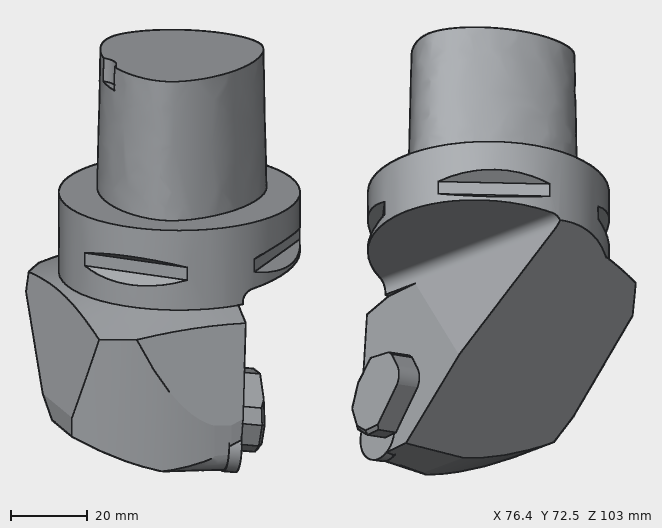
import cadquery as cq
import math


SHANK_HEIGHT = 38.0
SHANK_BASE_RADIUS = 22.1
SHANK_TOP_RADIUS = 21.3
LOBE_HEIGHT = 1.4
LOBE_COUNT = 3
OUTLINE_POINTS = 36
NOTCH_DEPTH = 6.4
NOTCH_RADIUS = 5.6
NOTCH_AXIS_Y = -23.6

FLANGE_RADIUS = 31.5
FLANGE_HEIGHT = 21.9
SLOT_COUNT = 4
SLOT_Z = -11.9
SLOT_FLOOR_WIDTH = 3.5
SLOT_MOUTH_WIDTH = 7.8
SLOT_FLOOR_DISTANCE = 27.9

WALL_Y = 5.9
UNDERSIDE_EDGE_Z = -16.2
UNDERSIDE_WALL_Z = -18.5
UNDERSIDE_FILLET = 3.1

HEAD_LEFT_CORNER_Y = -23.7
HEAD_BEVEL_END_X = -12.9
HEAD_FRONT_END_X = 28.4
SIDE_WALL_MIDDLE = (39.2, -23.3)
SIDE_WALL_END_Y = -3.0
FRONT_TOP_Y = -28.2
FRONT_LEAN_END_Z = -48.3
FRONT_BAND_END_Z = -53.5
UNDERSIDE_MIDDLE = (-30.4, -58.7)
UNDERSIDE_END = (-18.0, -62.4)
BOTTOM_EDGE_Y = 1.0
HEAD_BOTTOM_Z = -64.3
HEAD_SIDE_X = 44.0
HEAD_FRONT_Y = -41.0
SHOULDER_SLOPE = 0.25
CUT_START_Z = -19.3
CUT_END_X = 27.3
CUT_TILT = 0.01
SIDE_FACE_POINT = (39.8, 3.5, -24.0)
SIDE_FACE_NORMAL = (1, -0.074, 0.178)
SEAT_NORMAL = (0.125, 1, -0.076)
SEAT_AT_ORIGIN_Y = 10.1

INSERT_RADIUS = 6.8
INSERT_BACK_RADIUS = 6.5
INSERT_THICKNESS = 3.3
INSERT_X = 38.2
INSERT_Z = -58.2
NOSE_RADIUS = 6.5
NOSE_DRAFT = 5.0

CLAMP_HEIGHT = 7.2
CLAMP_CENTRE = (31.1, 9.8, -51.9)
CLAMP_AXIS = (0.11, 1, -0.18)
CLAMP_DEPTH = 15.4
CLAMP_OUTLINE = [
    (-7.2, 8.9), (-6.2, 9.8), (1.0, 10.6), (8.5, 3.6), (10.5, -0.5),
    (8.8, -6.7), (5.1, -9.5), (0.8, -9.5), (-8.7, 0.0),
]
CLAMP_HEEL_MIDDLE = (-9.6, 2.7)
CLAMP_HEEL_END = (-9.0, 5.4)
CLAMP_BEVEL = 1.0
CLAMP_BEVEL_START = 89.6

REACH = 103.0


def seat_y(x, z):
    """Y of the seat plane above a point in XZ."""
    nx, ny, nz = SEAT_NORMAL
    return SEAT_AT_ORIGIN_Y - (nx * x + nz * z) / ny


def half_space(point, normal):
    """Large block lying on the side of a plane that its normal points to."""
    return cq.Workplane(cq.Plane(point, normal=normal)).rect(2 * REACH, 2 * REACH).extrude(REACH)


def lobed_outline(radius):
    """Constant-width outline from its support function, one lobe towards +Y."""
    points = []
    for i in range(OUTLINE_POINTS):
        angle = 2 * math.pi * i / OUTLINE_POINTS
        phase = LOBE_COUNT * (angle - math.pi / 2)
        support = radius + LOBE_HEIGHT * math.cos(phase)
        slope = -LOBE_COUNT * LOBE_HEIGHT * math.sin(phase)
        x = support * math.cos(angle) - slope * math.sin(angle)
        y = support * math.sin(angle) + slope * math.cos(angle)
        points.append((x, y))
    return points


def make_shank():
    shank = (
        cq.Workplane("XY").spline(lobed_outline(SHANK_BASE_RADIUS), periodic=True).close()
        .workplane(offset=SHANK_HEIGHT)
        .spline(lobed_outline(SHANK_TOP_RADIUS), periodic=True).close()
        .loft(combine=True)
    )
    notch = (
        cq.Workplane("XY", origin=(0, NOTCH_AXIS_Y, SHANK_HEIGHT))
        .circle(NOTCH_RADIUS).extrude(-NOTCH_DEPTH)
    )
    return shank.cut(notch)


def make_slot(angle):
    """Flat-bottomed V slot, straight across the flange rim."""
    floor = SLOT_FLOOR_WIDTH / 2
    mouth = SLOT_MOUTH_WIDTH / 2
    return (
        cq.Workplane("XZ", origin=(0, 0, SLOT_Z))
        .moveTo(SLOT_FLOOR_DISTANCE, -floor).lineTo(SLOT_FLOOR_DISTANCE, floor)
        .lineTo(FLANGE_RADIUS, mouth).lineTo(FLANGE_RADIUS, -mouth).close()
        .extrude(FLANGE_RADIUS, both=True)
        .rotate((0, 0, 0), (0, 0, 1), angle)
    )


def make_flange():
    flange = cq.Workplane("XY").circle(FLANGE_RADIUS).extrude(-FLANGE_HEIGHT)
    for i in range(SLOT_COUNT):
        flange = flange.cut(make_slot(360 / SLOT_COUNT * (i + 0.5)))
    relief = (
        cq.Workplane("YZ", origin=(-REACH, 0, 0))
        .moveTo(WALL_Y, UNDERSIDE_WALL_Z).lineTo(FLANGE_RADIUS, UNDERSIDE_EDGE_Z)
        .lineTo(FLANGE_RADIUS, HEAD_BOTTOM_Z).lineTo(WALL_Y, HEAD_BOTTOM_Z).close()
        .extrude(2 * REACH)
    )
    corner = cq.selectors.NearestToPointSelector((0, WALL_Y, UNDERSIDE_WALL_Z))
    return flange.cut(relief.edges(corner).fillet(UNDERSIDE_FILLET))


def oblique_cut():
    """Everything below the oblique plane that undercuts flange and head."""
    run = CUT_END_X + FLANGE_RADIUS
    fall = HEAD_BOTTOM_Z - CUT_START_Z
    return half_space((-FLANGE_RADIUS, WALL_Y, CUT_START_Z), (fall, -CUT_TILT * run, -run))


def make_head():
    plan = (
        cq.Workplane("XY", origin=(0, 0, HEAD_BOTTOM_Z))
        .moveTo(-FLANGE_RADIUS, WALL_Y).lineTo(-FLANGE_RADIUS, HEAD_LEFT_CORNER_Y)
        .lineTo(HEAD_BEVEL_END_X, HEAD_FRONT_Y)
        .lineTo(HEAD_FRONT_END_X, HEAD_FRONT_Y)
        .threePointArc(SIDE_WALL_MIDDLE, (HEAD_SIDE_X, SIDE_WALL_END_Y))
        .lineTo(HEAD_SIDE_X, WALL_Y).close()
        .extrude(-HEAD_BOTTOM_Z)
    )
    profile = (
        cq.Workplane("YZ", origin=(-REACH, 0, 0))
        .moveTo(WALL_Y, 0).lineTo(FRONT_TOP_Y, 0).lineTo(HEAD_FRONT_Y, FRONT_LEAN_END_Z)
        .lineTo(HEAD_FRONT_Y, FRONT_BAND_END_Z).threePointArc(UNDERSIDE_MIDDLE, UNDERSIDE_END)
        .lineTo(BOTTOM_EDGE_Y, HEAD_BOTTOM_Z).lineTo(WALL_Y, HEAD_BOTTOM_Z).close()
        .extrude(2 * REACH)
    )
    shoulder_drop = SHOULDER_SLOPE * (REACH - FLANGE_RADIUS)
    shoulder = (
        cq.Workplane("XZ")
        .moveTo(0, -FLANGE_HEIGHT).lineTo(FLANGE_RADIUS, -FLANGE_HEIGHT)
        .lineTo(REACH, -FLANGE_HEIGHT - shoulder_drop)
        .lineTo(REACH, HEAD_BOTTOM_Z).lineTo(0, HEAD_BOTTOM_Z).close()
        .revolve(360, (0, 0, 0), (0, 1, 0))
    )
    nose_side_x = INSERT_X + NOSE_RADIUS
    nose_bottom_z = INSERT_Z - NOSE_RADIUS
    nose = (
        cq.Workplane("XZ", origin=(0, WALL_Y, 0))
        .moveTo(-REACH, nose_bottom_z).lineTo(INSERT_X, nose_bottom_z)
        .radiusArc((nose_side_x, INSERT_Z), -NOSE_RADIUS)
        .lineTo(nose_side_x, 0).lineTo(-REACH, 0).close()
        .extrude(WALL_Y - HEAD_FRONT_Y, taper=NOSE_DRAFT)
    )
    head = plan.intersect(profile).intersect(shoulder).intersect(nose)
    head = head.cut(half_space(SIDE_FACE_POINT, SIDE_FACE_NORMAL))
    return head.cut(half_space((0, SEAT_AT_ORIGIN_Y, 0), SEAT_NORMAL))


def make_clamp():
    """Pad with a rounded heel, its top face parallel to the seat."""
    outline_plane = cq.Plane(
        CLAMP_CENTRE,
        xDir=(1, -CLAMP_AXIS[0], 0),
        normal=tuple(-a for a in CLAMP_AXIS),
    )
    pad = (
        cq.Workplane(outline_plane)
        .polyline(CLAMP_OUTLINE)
        .threePointArc(CLAMP_HEEL_MIDDLE, CLAMP_HEEL_END).close()
        .extrude(CLAMP_DEPTH, both=True)
    )
    seat_point = (0, SEAT_AT_ORIGIN_Y, 0)
    pad = pad.intersect(half_space(seat_point, SEAT_NORMAL))
    normal_length = math.hypot(*SEAT_NORMAL)
    top_point = tuple(p + CLAMP_HEIGHT * n / normal_length for p, n in zip(seat_point, SEAT_NORMAL))
    pad = pad.cut(half_space(top_point, SEAT_NORMAL))
    top_edges = pad.faces(">Y").edges()
    nose_edges = [e for e in top_edges.vals() if e.Center().x - e.Center().z > CLAMP_BEVEL_START]
    return pad.newObject(nose_edges).chamfer(CLAMP_BEVEL)


def make_insert():
    """Round insert, face flush with the seat, narrowing away from it."""
    centre = (INSERT_X, seat_y(INSERT_X, INSERT_Z), INSERT_Z)
    return (
        cq.Workplane(cq.Plane(centre, normal=SEAT_NORMAL))
        .circle(INSERT_RADIUS)
        .workplane(offset=-INSERT_THICKNESS).circle(INSERT_BACK_RADIUS)
        .loft(combine=True)
    )


insert = make_insert()
holder = make_flange().union(make_head()).cut(oblique_cut())
holder = holder.union(make_shank()).union(make_clamp()).cut(insert)

result = cq.Compound.makeCompound([holder.val(), insert.val()])